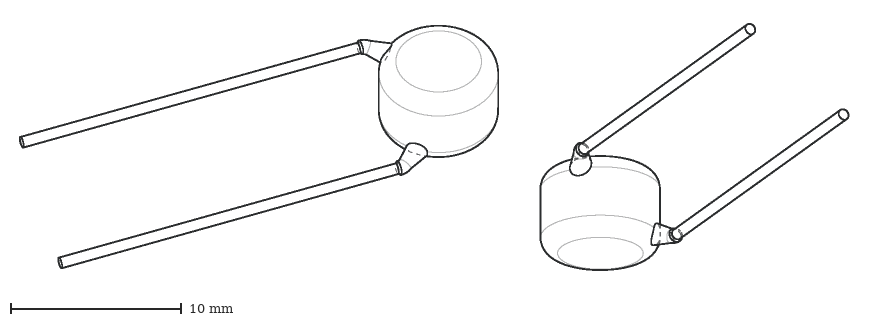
import cadquery as cq
import math


housing_diameter = 7.0
housing_height = 5.05
rim_fillet = 1.0

overall_length = 28.5
overall_height = 5.1
lead_diameter = 0.65
lead_end_y = housing_diameter / 2 - overall_length

collar_diameter = 0.85
collar_tip_y = -3.82
collar_length = 0.15
bend_radius = 0.75
cone_length = 1.85
cone_half_angle = 11.0
neck_run_x = 0.56
neck_run_z = 0.37

lead_x = (housing_diameter - collar_diameter) / 2
lead_z = (overall_height - collar_diameter) / 2
collar_base_y = collar_tip_y + collar_length

neck_run_side = math.hypot(neck_run_x, neck_run_z)
bend_angle = math.atan(neck_run_side)
bend_side = cq.Vector(neck_run_x / neck_run_side, 0, -neck_run_z / neck_run_side)
lead_direction = cq.Vector(0, 1, 0)
lead_axis_base = cq.Vector(-lead_x, 0, lead_z)


side_angles = [0, 180]


def turned(shape, angle):
    """Turn a shape about the Y axis."""
    return shape.rotate((0, 0, 0), (0, 1, 0), angle)


def make_lead():
    """Straight round wire from its free end to the bottom of the collar socket."""
    start = lead_axis_base + lead_direction * lead_end_y
    return cq.Solid.makeCylinder(lead_diameter / 2, collar_base_y - lead_end_y, start, lead_direction)


def make_neck():
    """Collar tapering to the wire, elbow and widening cone of the coating around one lead."""
    collar_radius = collar_diameter / 2
    collar_tip = lead_axis_base + lead_direction * collar_tip_y
    collar_base = lead_axis_base + lead_direction * collar_base_y

    collar = cq.Workplane(
        cq.Solid.makeCone(lead_diameter / 2, collar_radius, collar_length, collar_tip, lead_direction)
    )

    elbow = (
        cq.Workplane(cq.Plane(collar_base, bend_side, lead_direction))
        .circle(collar_radius)
        .revolve(math.degrees(bend_angle), (bend_radius, 0, 0), (bend_radius, 1, 0))
    )

    cone_direction = bend_side * math.sin(bend_angle) + lead_direction * math.cos(bend_angle)
    cone_start = (
        collar_base
        + bend_side * (bend_radius * (1 - math.cos(bend_angle)))
        + lead_direction * (bend_radius * math.sin(bend_angle))
    )
    cone_end_radius = collar_radius + cone_length * math.tan(math.radians(cone_half_angle))
    cone = cq.Solid.makeCone(collar_radius, cone_end_radius, cone_length, cone_start, cone_direction)
    return collar.union(elbow).union(cone).val()


def make_housing(leads):
    """Rounded disc joined with both necks, with a socket for each lead."""
    disc = (
        cq.Workplane("XY", origin=(0, 0, -housing_height / 2))
        .circle(housing_diameter / 2)
        .extrude(housing_height)
        .faces("<Z or >Z")
        .edges()
        .fillet(rim_fillet)
    )
    housing = disc
    for angle in side_angles:
        housing = housing.union(turned(make_neck(), angle))
    for lead in leads:
        housing = housing.cut(lead)
    return housing


leads = [turned(make_lead(), angle) for angle in side_angles]
housing = make_housing(leads)

result = cq.Compound.makeCompound([housing.val(), *leads])